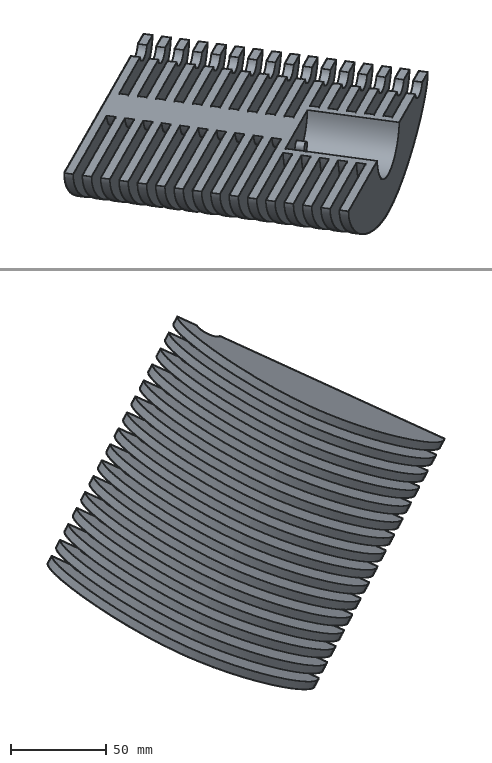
import cadquery as cq

fin_count = 16
fin_thickness = 5.0
fin_pitch = 2 * fin_thickness
body_length = (fin_count - 1) * fin_pitch + fin_thickness
left_end = -body_length / 2

half_width = 78.1
fin_depth = 42.5
bottom_pull = 37.5
side_pull = 15.8

axis_height = 2.0
core_radius = 12.5
cradle_radius = 26.4
bore_radius = 21.7
notch_radius = 7.0
notch_offset = 60.0

end_wall_fin = 11
cradle_start = left_end + (end_wall_fin - 1) * fin_pitch + fin_thickness
cradle_length = body_length / 2 - cradle_start

pin_radius = 3.0
pin_length = fin_thickness
pin_depth = 10.0


def cylinder_along_x(start, length, radius, y, z):
    """Cylinder running in +X from the given start position."""
    return cq.Workplane("YZ", origin=(start, y, z)).circle(radius).extrude(length)


def fin(start):
    """One fin; each half of its lower edge is a cubic Bezier curve."""
    return (
        cq.Workplane("YZ", origin=(start, 0, 0))
        .moveTo(-half_width, 0)
        .bezier([
            (-half_width, 0),
            (-half_width, -side_pull),
            (-bottom_pull, -fin_depth),
            (0, -fin_depth),
        ])
        .bezier([
            (0, -fin_depth),
            (bottom_pull, -fin_depth),
            (half_width, -side_pull),
            (half_width, 0),
        ])
        .close()
        .extrude(fin_thickness)
    )


body = cylinder_along_x(left_end, body_length, core_radius, 0, axis_height)
body = body.union(cylinder_along_x(cradle_start, cradle_length, cradle_radius, 0, axis_height))
for index in range(fin_count):
    body = body.union(fin(left_end + index * fin_pitch))

trim = cq.Workplane("XY").box(
    body_length, 2 * half_width, cradle_radius + axis_height, centered=(True, True, False)
)
body = body.cut(trim)

body = body.cut(cylinder_along_x(cradle_start, cradle_length, bore_radius, 0, axis_height))
body = body.cut(cylinder_along_x(left_end, body_length, notch_radius, notch_offset, axis_height))

pin = cylinder_along_x(
    cradle_start - fin_thickness, fin_thickness + pin_length, pin_radius, 0, -pin_depth
)

result = body.union(pin)